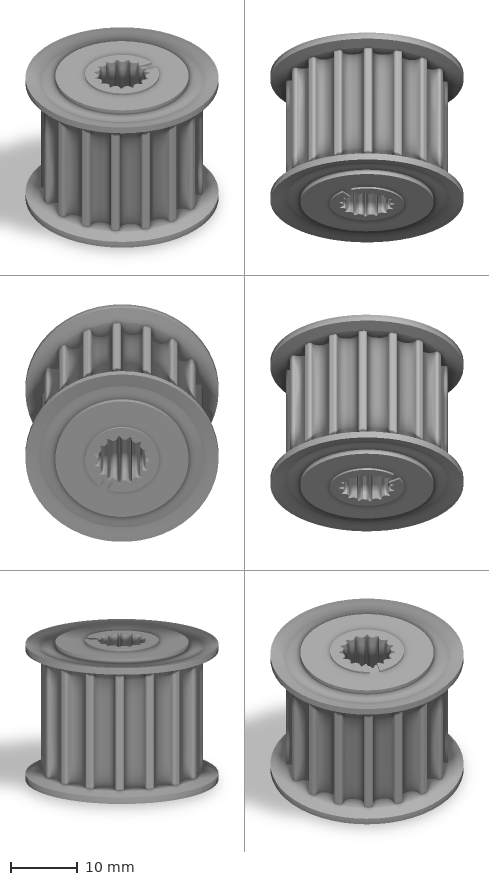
import cadquery as cq
import math

total_height = 22.25
boss_height = 0.3
hub_rise = 0.3
flange_thickness = 1.02
flange_flare = 0.44

hub_top = total_height / 2 - boss_height
rim_top = hub_top - hub_rise
rim_bottom = rim_top - flange_thickness
plate_top = rim_top - flange_flare
plate_bottom = plate_top - flange_thickness

flange_radius = 14.5
bend_radius = 12.25
hub_radius = 10.0
boss_radius = 5.57

belt_tooth_count = 16
belt_tip_radius = 12.15
belt_groove_depth = 2.05
belt_groove_half_width = 1.62
belt_root_rounding = 1.35
belt_tip_rounding = 0.44

spline_count = 15
spline_bore_radius = 3.57
spline_root_radius = 4.2
spline_root_rounding = 0.12
spline_half_angle = math.radians(30)

boss_slot_width = 1.55


def belt_groove():
    """Cutter on the +X side with a flat root and large root rounds, running the toothed length."""
    root_x = belt_tip_radius - belt_groove_depth
    length = belt_groove_depth + belt_groove_half_width
    cutter = (
        cq.Workplane("XY")
        .workplane(offset=-plate_bottom)
        .center(root_x + length / 2, 0)
        .rect(length, 2 * belt_groove_half_width)
        .extrude(2 * plate_bottom)
    )
    return cutter.edges("|Z and <X").fillet(belt_root_rounding)


def on_tooth_tip(edge):
    """True for an edge that lies on the outer cylinder of the belt teeth."""
    centre = edge.Center()
    return math.isclose(math.hypot(centre.x, centre.y), belt_tip_radius, rel_tol=1e-4)


def toothed_barrel():
    """Cylinder with evenly spaced belt grooves whose mouths are rounded over."""
    barrel = cq.Workplane("XY").circle(belt_tip_radius).extrude(plate_bottom, both=True)
    for index in range(belt_tooth_count):
        angle = index * 360 / belt_tooth_count
        barrel = barrel.cut(belt_groove().rotate((0, 0, 0), (0, 0, 1), angle))
    return barrel.edges("|Z").filter(on_tooth_tip).fillet(belt_tip_rounding)


def boss():
    """Low slotted ring on the upper hub face."""
    ring = cq.Workplane("XY").workplane(offset=hub_top).circle(boss_radius).extrude(boss_height)
    slot = (
        cq.Workplane("XY")
        .workplane(offset=hub_top)
        .center(0, boss_radius / 2)
        .rect(boss_slot_width, boss_radius + boss_height)
        .extrude(boss_height)
    )
    return ring.cut(slot)


def spline_groove():
    """V-shaped cutter with a rounded root, pointing along +Y through the full height."""
    apex = spline_root_radius - spline_root_rounding + spline_root_rounding / math.sin(spline_half_angle)
    mouth = spline_bore_radius / 2
    half_width = (apex - mouth) * math.tan(spline_half_angle)
    tangent_x = spline_root_rounding * math.cos(spline_half_angle)
    tangent_y = apex - tangent_x / math.tan(spline_half_angle)
    return (
        cq.Workplane("XY")
        .moveTo(-half_width, mouth)
        .lineTo(-tangent_x, tangent_y)
        .threePointArc((0, spline_root_radius), (tangent_x, tangent_y))
        .lineTo(half_width, mouth)
        .close()
        .extrude(total_height, both=True)
    )


def splined_bore():
    """Cutter for the bore: a cylinder with evenly spaced grooves around it."""
    bore = cq.Workplane("XY").circle(spline_bore_radius).extrude(total_height, both=True)
    for index in range(spline_count):
        angle = index * 360 / spline_count
        bore = bore.union(spline_groove().rotate((0, 0, 0), (0, 0, 1), angle))
    return bore


def make_pulley():
    """Toothed barrel with a hub and a slotted boss at each end, and a splined bore."""
    hub = cq.Workplane("XY").circle(hub_radius).extrude(hub_top, both=True)
    pulley = toothed_barrel().union(hub).union(boss()).union(boss().mirror("XY"))
    return pulley.cut(splined_bore())


def make_flange():
    """Upper flange: a flat ring of sheet whose rim flares away from the belt."""
    profile = [
        (hub_radius, plate_bottom),
        (bend_radius, plate_bottom),
        (flange_radius, rim_bottom),
        (flange_radius, rim_top),
        (bend_radius, plate_top),
        (hub_radius, plate_top),
    ]
    return cq.Workplane("XZ").polyline(profile).close().revolve(360, (0, 0), (0, 1))


pulley = make_pulley()
flange = make_flange()
flanges = [flange, flange.mirror("XY")]

result = cq.Compound.makeCompound([pulley.val(), *[ring.val() for ring in flanges]])